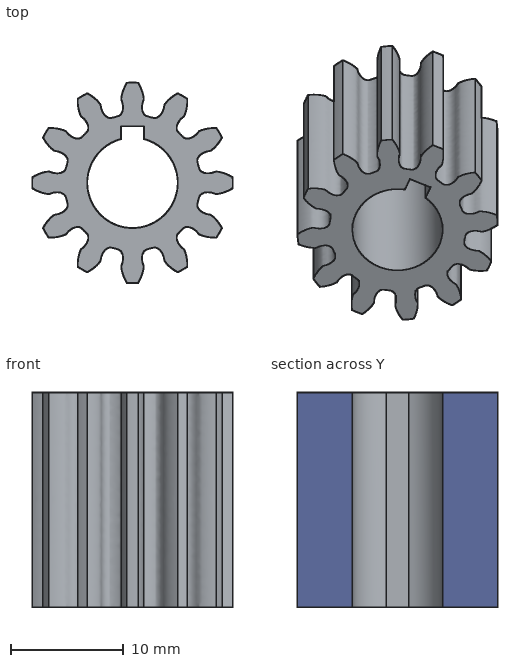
import cadquery as cq
import math


TEETH = 12
MODULE = 25.4 / 20
PRESSURE_ANGLE = math.radians(14.5)
ADDENDUM = 1.0 * MODULE
DEDENDUM = 1.25 * MODULE
RACK_TIP_RADIUS = 0.3 * MODULE
FACE_WIDTH = 19.05
BORE_DIAMETER = 8.0
KEYWAY_WIDTH = 2.0
KEYWAY_TOP = 5.0

PITCH_RADIUS = MODULE * TEETH / 2
TIP_RADIUS = PITCH_RADIUS + ADDENDUM
ROOT_RADIUS = PITCH_RADIUS - DEDENDUM
BASE_RADIUS = PITCH_RADIUS * math.cos(PRESSURE_ANGLE)
TOOTH_PITCH = 2 * math.pi / TEETH

TIP_CENTER_Y = RACK_TIP_RADIUS - DEDENDUM
TIP_CENTER_X = (
    math.pi * MODULE / 4
    + TIP_CENTER_Y * math.tan(PRESSURE_ANGLE)
    - RACK_TIP_RADIUS / math.cos(PRESSURE_ANGLE)
)

CURVE_STEPS = 10
BISECTION_STEPS = 60


def find_crossing(function, start, end):
    """Return where the function changes sign between start and end."""
    start_is_positive = function(start) > 0
    for _ in range(BISECTION_STEPS):
        middle = (start + end) / 2
        if (function(middle) > 0) == start_is_positive:
            start = middle
        else:
            end = middle
    return start


def involute_half_angle(radius):
    """Half the angle the tooth spans between its involute flanks at a radius."""
    local_angle = math.acos(min(1.0, BASE_RADIUS / radius))
    involute_at_radius = math.tan(local_angle) - local_angle
    involute_at_pitch = math.tan(PRESSURE_ANGLE) - PRESSURE_ANGLE
    return TOOTH_PITCH / 4 + involute_at_pitch - involute_at_radius


def fillet_point(roll):
    """Radius and angle from the tooth middle of the fillet cut at a given roll of the gear."""
    from_contact_x = TIP_CENTER_X - PITCH_RADIUS * roll
    distance = math.hypot(from_contact_x, TIP_CENTER_Y)
    reach = 1 + RACK_TIP_RADIUS / distance
    x = from_contact_x * reach
    y = PITCH_RADIUS + TIP_CENTER_Y * reach
    angle_from_gap_middle = math.atan2(x, y) + roll
    return math.hypot(x, y), TOOTH_PITCH / 2 - angle_from_gap_middle


def flank_excess(roll):
    """Angle by which the fillet stands outside the involute flank."""
    radius, angle = fillet_point(roll)
    return angle - involute_half_angle(radius)


def spaced(start, end):
    """Evenly spaced values from start to end."""
    return [start + (end - start) * i / CURVE_STEPS for i in range(CURVE_STEPS + 1)]


def point_at(radius, angle):
    """XY point at a radius and angle."""
    return (radius * math.cos(angle), radius * math.sin(angle))


ROOT_ROLL = TIP_CENTER_X / PITCH_RADIUS
FLANK_ROLL = ROOT_ROLL + TIP_CENTER_Y / math.tan(PRESSURE_ANGLE) / PITCH_RADIUS
BASE_ROLL = find_crossing(lambda roll: fillet_point(roll)[0] - BASE_RADIUS, ROOT_ROLL, FLANK_ROLL)
CORNER_ROLL = find_crossing(flank_excess, BASE_ROLL, FLANK_ROLL)
CORNER_RADIUS = fillet_point(CORNER_ROLL)[0]

FILLET = [fillet_point(roll) for roll in spaced(ROOT_ROLL, CORNER_ROLL)]
FLANK = [(radius, involute_half_angle(radius)) for radius in spaced(CORNER_RADIUS, TIP_RADIUS)[1:]]
HALF_TOOTH = FILLET + FLANK
TIP_HALF_ANGLE = involute_half_angle(TIP_RADIUS)


def add_tooth(outline, middle):
    """Continue the outline over one tooth tip and through the gap to the next tooth tip."""
    next_middle = middle + TOOTH_PITCH
    falling_side = [point_at(radius, middle + angle) for radius, angle in reversed(HALF_TOOTH)]
    root_middle = point_at(ROOT_RADIUS, middle + TOOTH_PITCH / 2)
    rising_side = [point_at(radius, next_middle - angle) for radius, angle in HALF_TOOTH]
    gap = falling_side + [root_middle] + rising_side
    return (
        outline.threePointArc(point_at(TIP_RADIUS, middle), gap[0])
        .spline(gap[1:], includeCurrent=True)
    )


def toothed_blank():
    """Solid pinion with all its teeth, one of them on +X."""
    outline = cq.Workplane("XY").moveTo(*point_at(TIP_RADIUS, -TIP_HALF_ANGLE))
    for tooth in range(TEETH):
        outline = add_tooth(outline, tooth * TOOTH_PITCH)
    return outline.close().extrude(FACE_WIDTH)


def keyed_bore():
    """Through bore with a square keyway on its +Y side."""
    bore = cq.Workplane("XY").circle(BORE_DIAMETER / 2).extrude(FACE_WIDTH)
    keyway = (
        cq.Workplane("XY")
        .center(0, KEYWAY_TOP / 2)
        .rect(KEYWAY_WIDTH, KEYWAY_TOP)
        .extrude(FACE_WIDTH)
    )
    return bore.union(keyway)


result = toothed_blank().cut(keyed_bore())